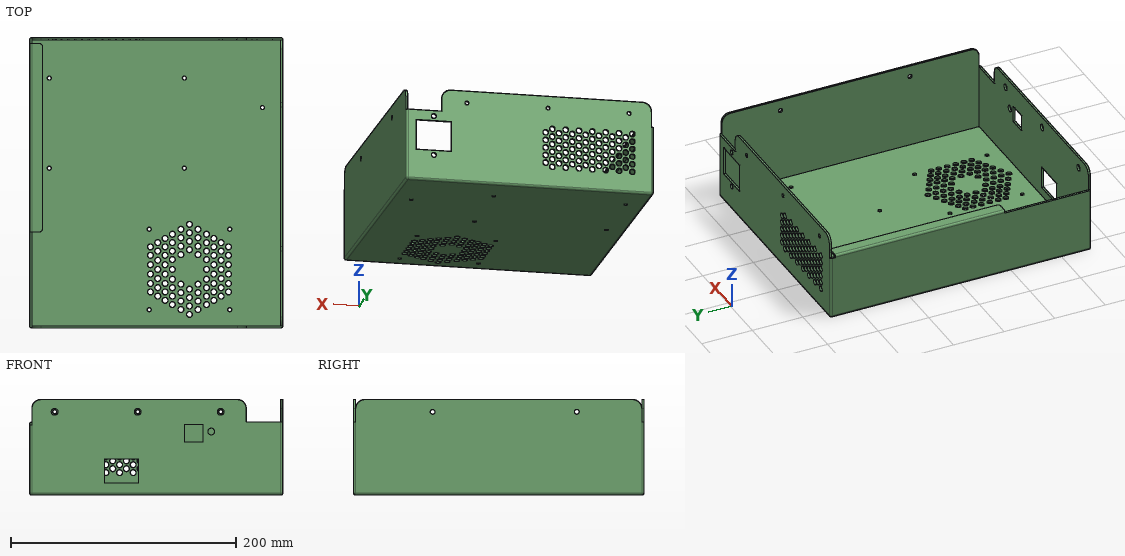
import cadquery as cq
import math

WIDTH = 225.03
DEPTH = 258.0
HEIGHT = 85.0
SHEET = 2.0
BEND_RADIUS = SHEET
FLANGE_TOP = 65.0
LEFT_WALL_HEIGHT = 62.5
STEP_HEIGHT = 65.0
TAB_CORNER_RADIUS = 8.0

TAB_INSET = BEND_RADIUS
END_TAB_RIGHT = 192.5

FLANGE_REACH = 11.5
FLANGE_FRONT = 85.3
FLANGE_BACK = 252.8
FLANGE_CORNER_RADIUS = 3.0

LID_HOLE_Z = 74.0
LID_HOLE_X = 22.25
LID_HOLE_PITCH_X = 73.75
LID_HOLE_COUNT = 3
FRONT_LID_HOLE_DIA = 6.0
BACK_LID_HOLE_DIA = 3.4
SIDE_LID_HOLE_DIA = 4.0
SIDE_LID_HOLE_Y = (70.3, 198.3)

BOARD_CENTER = (77.5, 182.0)
BOARD_PITCH_X = 120.0
BOARD_PITCH_Y = 80.0
BOARD_HOLE_DIA = 3.4
GROUND_HOLE = (206.8, 195.8)
GROUND_HOLE_DIA = 3.4
FAN_CENTER = (142.0, 52.1)
FAN_SCREW_PITCH = 71.5
FAN_SCREW_DIA = 3.4
FAN_VENT_DIA = 5.0
FAN_INNER_RADIUS = 17.5
FAN_RING_STEP = 7.5
FAN_RING_COUNT = 4

WINDOW_X, WINDOW_Z = 66.6, 10.6
WINDOW_WIDTH, WINDOW_HEIGHT = 30.0, 21.3
SQUARE_X, SQUARE_Z = 137.4, 47.0
SQUARE_WIDTH, SQUARE_HEIGHT = 16.8, 15.8
LAMP_HOLE = (161.3, 56.5)
LAMP_HOLE_DIA = 6.0

BACK_VENT_PITCH = 7.0
BACK_VENT_DIA = 5.0
BACK_VENT_RIGHT_X = 98.1
BACK_VENT_LOW_Z = 20.0
BACK_VENT_COLUMNS = 14
BACK_VENT_ROWS = 6
SOCKET_CENTER = (199.8, 42.0)
SOCKET_WIDTH, SOCKET_HEIGHT = 32.0, 27.5
SOCKET_SCREW_PITCH_Z = 36.0
SOCKET_SCREW_DIA = 4.39

STAGGER = math.sqrt(3) / 2


def box(x0, x1, y0, y1, z0, z1):
    return cq.Workplane("XY").box(x1 - x0, y1 - y0, z1 - z0, centered=False).translate((x0, y0, z0))


def holes_along_z(points, diameter):
    return cq.Workplane("XY").pushPoints(points).circle(diameter / 2).extrude(SHEET)


def holes_along_y(points, diameter, wall_y):
    plane = cq.Workplane("XZ", origin=(0, wall_y + SHEET, 0))
    return plane.pushPoints(points).circle(diameter / 2).extrude(SHEET)


def tray_shell():
    """Open box with rounded outside bends and square inside corners."""
    outer = box(0, WIDTH, 0, DEPTH, 0, HEIGHT)
    outer = outer.edges("|Z").fillet(BEND_RADIUS).faces("<Z").edges().fillet(BEND_RADIUS)
    inner = box(SHEET, WIDTH - SHEET, SHEET, DEPTH - SHEET, SHEET, HEIGHT)
    return outer.cut(inner)


def wall_trim():
    """Material above the walls and around their three raised tabs."""
    above = box(0, WIDTH, 0, DEPTH, STEP_HEIGHT, HEIGHT)
    end_tab = box(TAB_INSET, END_TAB_RIGHT, 0, DEPTH, STEP_HEIGHT, HEIGHT)
    end_tab = end_tab.faces(">Z").edges("|Y").fillet(TAB_CORNER_RADIUS)
    end_tab = end_tab.cut(box(0, WIDTH, SHEET, DEPTH - SHEET, STEP_HEIGHT, HEIGHT))

    side_tab = box(WIDTH - SHEET, WIDTH, TAB_INSET, DEPTH - TAB_INSET, STEP_HEIGHT, HEIGHT)
    side_tab = side_tab.faces(">Z").edges("|X").fillet(TAB_CORNER_RADIUS)
    return above.cut(end_tab).cut(side_tab)


def left_flange():
    """Left wall's top bend and inward flange."""
    bottom = FLANGE_TOP / 2
    blank = box(0, FLANGE_REACH, FLANGE_FRONT, FLANGE_BACK, bottom, FLANGE_TOP)
    blank = blank.edges("<X and >Z").fillet(BEND_RADIUS)
    blank = blank.edges(">X and |Z").fillet(FLANGE_CORNER_RADIUS)
    under = box(SHEET, FLANGE_REACH, FLANGE_FRONT, FLANGE_BACK, bottom, FLANGE_TOP - SHEET)
    return blank.cut(under)


def grid(center, pitch_x, pitch_y):
    cx, cy = center
    return [(cx + sx * pitch_x / 2, cy + sy * pitch_y / 2) for sx in (-1, 1) for sy in (-1, 1)]


def fan_vent_points():
    """Nested hexagons of holes around an open middle, built column by column and mirrored."""
    outer_ring = FAN_RING_COUNT + 1
    points = []
    for column in range(outer_ring + 1):
        ring = max(column, 2)
        radius = FAN_INNER_RADIUS + (ring - 2) * FAN_RING_STEP
        x = radius * STAGGER * column / ring
        top_y = radius * (1 - column / ring / 2)
        heights = [top_y + step * FAN_RING_STEP for step in range(outer_ring - ring + 1)]
        heights += [-y for y in heights]
        if column == ring:
            side_ring = ring - 2 if ring == outer_ring else ring
            side_radius = FAN_INNER_RADIUS + (side_ring - 2) * FAN_RING_STEP
            first_row = 0 if ring == outer_ring else 1
            rows = range(first_row, side_ring + 1 - first_row)
            heights += [side_radius / 2 - side_radius * row / side_ring for row in rows]
        for side in (-1, 1) if column else (1,):
            points += [(FAN_CENTER[0] + side * x, FAN_CENTER[1] + y) for y in heights]
    return points


def back_vent_points():
    """Staggered columns counted from the right; the rightmost is a short one."""
    points = []
    for column in range(BACK_VENT_COLUMNS):
        short = 1 - column % 2
        x = BACK_VENT_RIGHT_X - column * STAGGER * BACK_VENT_PITCH
        for row in range(BACK_VENT_ROWS - short):
            points.append((x, BACK_VENT_LOW_Z + (row + short / 2) * BACK_VENT_PITCH))
    return points


def floor_cuts():
    cuts = holes_along_z(grid(BOARD_CENTER, BOARD_PITCH_X, BOARD_PITCH_Y), BOARD_HOLE_DIA)
    cuts = cuts.add(holes_along_z([GROUND_HOLE], GROUND_HOLE_DIA))
    cuts = cuts.add(holes_along_z(grid(FAN_CENTER, FAN_SCREW_PITCH, FAN_SCREW_PITCH), FAN_SCREW_DIA))
    return cuts.add(holes_along_z(fan_vent_points(), FAN_VENT_DIA))


def lid_points():
    return [(LID_HOLE_X + i * LID_HOLE_PITCH_X, LID_HOLE_Z) for i in range(LID_HOLE_COUNT)]


def front_cuts():
    cuts = holes_along_y(lid_points(), FRONT_LID_HOLE_DIA, 0)
    cuts = cuts.add(holes_along_y([LAMP_HOLE], LAMP_HOLE_DIA, 0))
    cuts = cuts.add(box(WINDOW_X, WINDOW_X + WINDOW_WIDTH, 0, SHEET, WINDOW_Z, WINDOW_Z + WINDOW_HEIGHT))
    return cuts.add(box(SQUARE_X, SQUARE_X + SQUARE_WIDTH, 0, SHEET, SQUARE_Z, SQUARE_Z + SQUARE_HEIGHT))


def back_cuts():
    inner_y = DEPTH - SHEET
    x, z = SOCKET_CENTER
    screws = [(x, z + side * SOCKET_SCREW_PITCH_Z / 2) for side in (-1, 1)]
    cuts = holes_along_y(lid_points(), BACK_LID_HOLE_DIA, inner_y)
    cuts = cuts.add(holes_along_y(back_vent_points(), BACK_VENT_DIA, inner_y))
    cuts = cuts.add(holes_along_y(screws, SOCKET_SCREW_DIA, inner_y))
    return cuts.add(box(x - SOCKET_WIDTH / 2, x + SOCKET_WIDTH / 2, inner_y, DEPTH,
                        z - SOCKET_HEIGHT / 2, z + SOCKET_HEIGHT / 2))


def right_cuts():
    plane = cq.Workplane("YZ", origin=(WIDTH - SHEET, 0, 0))
    points = [(y, LID_HOLE_Z) for y in SIDE_LID_HOLE_Y]
    return plane.pushPoints(points).circle(SIDE_LID_HOLE_DIA / 2).extrude(SHEET)


def left_wall_trim():
    return box(0, SHEET, 0, DEPTH, LEFT_WALL_HEIGHT, STEP_HEIGHT)


result = tray_shell().cut(wall_trim()).cut(left_wall_trim()).union(left_flange())
for cuts in (floor_cuts(), front_cuts(), back_cuts(), right_cuts()):
    for cutter in cuts.vals():
        result = result.cut(cq.Workplane(cutter))